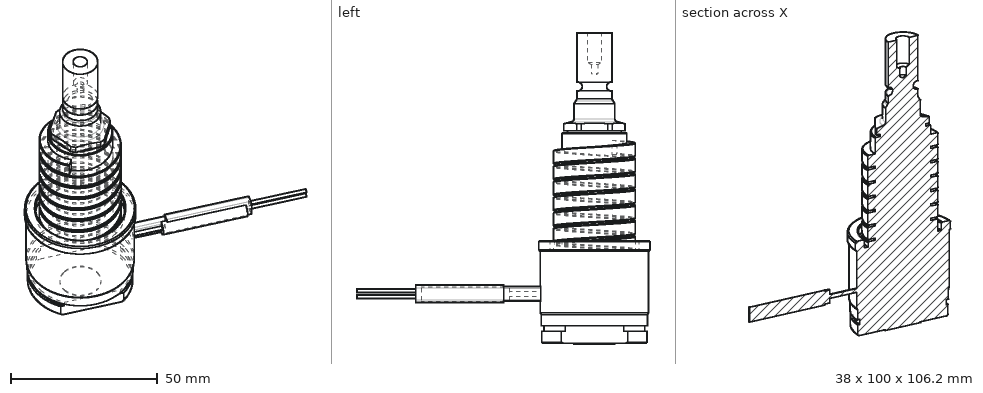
import cadquery as cq
import math

overall_height = 106.2

pad_radius = 7.0
pad_height = 0.3
foot_radius = 18.0
foot_top = 4.5
foot_chamfer = 0.5
foot_neck_radius = 17.2
foot_across_flats = 28.0

collar_radius = 18.15
collar_bottom = 6.3
collar_top = 10.1
housing_radius = 18.5
housing_bottom = 10.75
housing_top = 35.4
rim_radius = 19.0
rim_chamfer = 0.5
rim_bottom = 31.7
bore_radius = 15.2
bore_depth = 3.0
bore_chamfer = 0.4

core_radius = 11.1
core_top = 72.1
core_chamfer = 0.3
thread_radius = 14.0
thread_pitch = 5.3
thread_gap = 0.6
thread_chamfer = 0.3
thread_turns = 8
thread_end_angle = -32.6
thread_end_top = 69.6
thread_root_overlap = 0.5

washer_radius = 9.2
hex_across_flats = 19.0
hex_corner_radius = 10.5
hex_bottom = 72.8
hex_edge_top = 75.2
hex_top = 75.9

stem_radius = 7.0
stem_fillet = 1.0
stem_top = 82.1
stem_cone_top = 83.1
stem_cone_top_radius = 6.3
shaft_radius = 6.0
shoulder_step_top = 83.7
shoulder_top = 86.4
neck_height = 3.0
neck_edge_radius = 5.6
neck_radius = 4.2
hole_radius = 2.4
hole_depth = 10.0
pilot_radius = 1.15
pilot_depth = 3.0
drill_point_angle = 118.0

cable_height = 17.25
cable_start = 17.0
flat_cable_x = -1.5
flat_cable_width = 3.0
flat_cable_depth = 5.0
flat_cable_fillet = 0.6
sleeve_length = 30.0
sleeve_start = 31.0
sleeve_width = 4.0
sleeve_depth = 6.0
sleeve_fillet = 1.0
wire_radius = 0.65
wire_spacing = 2.1
wire_end = 81.0
round_cable_x = 0.0
round_cable_radius = 0.8
tube_radius = 2.5
tube_start = 29.0


def cylinder(radius, bottom, top):
    return cq.Workplane("XY").workplane(offset=bottom).circle(radius).extrude(top - bottom)


def revolved(profile):
    """Solid of revolution about Z from (radius, height) points."""
    return cq.Workplane("XZ").polyline(profile).close().revolve(360, (0, 0), (0, 1))


def make_foot():
    pad = cylinder(pad_radius, 0, foot_top)
    disc = cylinder(foot_radius, pad_height, foot_top).faces("<Z").chamfer(foot_chamfer)
    neck = cylinder(foot_neck_radius, foot_top, collar_bottom)
    flats = cq.Workplane("XY").box(
        foot_across_flats, 2 * foot_radius, collar_bottom, centered=(True, True, False)
    )
    return disc.union(neck).intersect(flats).union(pad)


def make_housing():
    profile = [
        (0, collar_bottom),
        (collar_radius, collar_bottom),
        (collar_radius, collar_top),
        (housing_radius, housing_bottom),
        (housing_radius, rim_bottom),
        (rim_radius, rim_bottom + rim_chamfer),
        (rim_radius, housing_top - rim_chamfer),
        (rim_radius - rim_chamfer, housing_top),
        (bore_radius + bore_chamfer, housing_top),
        (bore_radius, housing_top - bore_chamfer),
        (bore_radius, housing_top - bore_depth),
        (0, housing_top - bore_depth),
    ]
    return revolved(profile)


def make_thread():
    ridge_width = thread_pitch - thread_gap
    length = thread_turns * thread_pitch
    half = ridge_width / 2
    root = core_radius - thread_root_overlap
    profile = [
        (root, -half),
        (thread_radius - thread_chamfer, -half),
        (thread_radius, thread_chamfer - half),
        (thread_radius, half - thread_chamfer),
        (thread_radius - thread_chamfer, half),
        (root, half),
    ]
    path = cq.Workplane("XY").newObject([cq.Wire.makeHelix(thread_pitch, length, thread_radius)])
    ridge = cq.Workplane("XZ").polyline(profile).close().sweep(path, isFrenet=True)
    ridge = ridge.rotate((0, 0, 0), (0, 0, 1), thread_end_angle)
    return ridge.translate((0, 0, thread_end_top - half - length))


def make_core():
    return cylinder(core_radius, housing_bottom, core_top).faces(">Z").chamfer(core_chamfer)


def make_nut():
    across_corners = hex_across_flats / math.cos(math.radians(30))
    hexagon = (
        cq.Workplane("XY")
        .workplane(offset=hex_bottom)
        .polygon(6, across_corners)
        .extrude(hex_top - hex_bottom)
        .rotate((0, 0, 0), (0, 0, 1), 30)
    )
    envelope_profile = [
        (0, hex_bottom),
        (hex_corner_radius, hex_bottom),
        (hex_corner_radius, hex_edge_top),
        (stem_radius + stem_fillet, hex_top),
        (0, hex_top),
    ]
    envelope = revolved(envelope_profile)
    return hexagon.intersect(envelope).union(cylinder(washer_radius, core_top, hex_bottom))


def make_shaft():
    neck_top = shoulder_top + neck_height
    fillet_reach = stem_fillet * (1 - math.sqrt(0.5))
    profile = (
        cq.Workplane("XZ")
        .moveTo(0, hex_bottom)
        .lineTo(stem_radius + stem_fillet, hex_bottom)
        .lineTo(stem_radius + stem_fillet, hex_top)
        .threePointArc(
            (stem_radius + fillet_reach, hex_top + fillet_reach),
            (stem_radius, hex_top + stem_fillet),
        )
        .lineTo(stem_radius, stem_top)
        .lineTo(stem_cone_top_radius, stem_cone_top)
        .lineTo(shaft_radius, shoulder_step_top)
        .lineTo(shaft_radius, shoulder_top)
        .lineTo(neck_edge_radius, shoulder_top)
        .threePointArc((neck_radius, shoulder_top + neck_height / 2), (neck_edge_radius, neck_top))
        .lineTo(shaft_radius, neck_top)
        .lineTo(shaft_radius, overall_height)
        .lineTo(0, overall_height)
        .close()
    )
    return profile.revolve(360, (0, 0), (0, 1))


def make_drilled_hole():
    """Blind hole that narrows through a drill cone into a shallow pilot hole with its own drill point."""
    cone_slope = math.tan(math.radians(drill_point_angle / 2))
    bottom = overall_height - hole_depth
    pilot_top = bottom - (hole_radius - pilot_radius) / cone_slope
    pilot_bottom = pilot_top - pilot_depth
    profile = [
        (0, overall_height),
        (hole_radius, overall_height),
        (hole_radius, bottom),
        (pilot_radius, pilot_top),
        (pilot_radius, pilot_bottom),
        (0, pilot_bottom - pilot_radius / cone_slope),
    ]
    return revolved(profile)


def section_plane(x, y, z):
    return cq.Workplane(cq.Plane(origin=(x, y, z), xDir=(1, 0, 0), normal=(0, 1, 0)))


def rounded_bar(width, depth, fillet, start, end):
    bar = section_plane(flat_cable_x, start, cable_height).rect(width, depth).extrude(end - start)
    return bar.edges("|Y").fillet(fillet)


def round_bar(x, z, radius, start, end):
    return section_plane(x, start, z).circle(radius).extrude(end - start)


def make_cables():
    sleeve_end = sleeve_start + sleeve_length
    flat = rounded_bar(flat_cable_width, flat_cable_depth, flat_cable_fillet, cable_start, sleeve_start)
    sleeve = rounded_bar(sleeve_width, sleeve_depth, sleeve_fillet, sleeve_start, sleeve_end)
    cables = flat.union(sleeve)
    for side in (-1, 1):
        z = cable_height + side * wire_spacing / 2
        cables = cables.union(round_bar(flat_cable_x, z, wire_radius, sleeve_end, wire_end))
    thin = round_bar(round_cable_x, cable_height, round_cable_radius, cable_start, tube_start)
    tube = round_bar(round_cable_x, cable_height, tube_radius, tube_start, tube_start + sleeve_length)
    return cables.union(thin).union(tube)


result = make_housing().union(make_foot())
result = result.union(make_core().union(make_thread()))
result = result.union(make_nut())
result = result.union(make_shaft()).cut(make_drilled_hole())
result = result.union(make_cables())